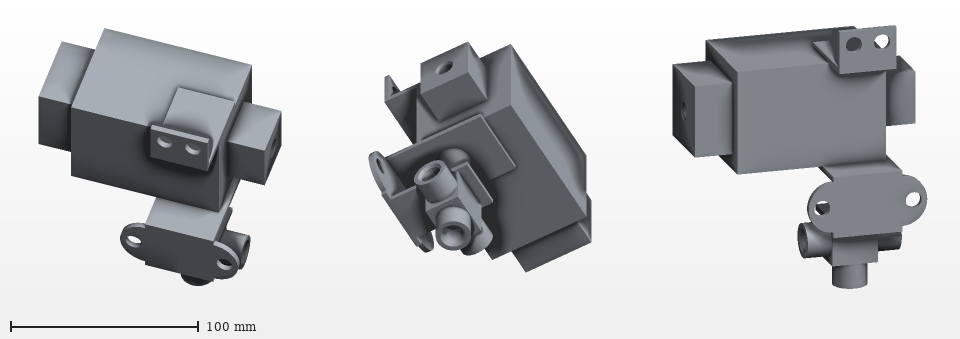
import cadquery as cq


body_length = 82.7
body_side = 57.5
end_block_length = 21.0
left_block_side = 40.0
right_block_side = 29.0
body_top = body_side / 2
body_bottom = -body_side / 2

sheet = 3.0
front_y = -body_side / 2 - 19.7
hole_diameter = 8.8

upper_width = 31.9
upper_height = 23.5
upper_depth = 47.9
upper_hole_spacing = 15.7
upper_hole_drop = 8.0
bracket_x = -upper_width / 2

lower_width = 38.3
lower_height = 34.0
lower_top_depth = 60.5
lower_bottom_width = 28.0
lower_bottom_depth = 49.5
ear_radius = 13.9
ear_hole_spacing = 51.0
lower_bottom = body_bottom - lower_height
ear_z = body_bottom - lower_height / 2

pipe_diameter = 18.9
pipe_y = front_y + 33.3
fitting_width = 25.5
fitting_depth = 19.8
fitting_height = 23.8
side_pipe_length = 13.4
bottom_pipe_length = 13.7
side_pipe_drop = 11.1
fitting_bottom = lower_bottom - fitting_height
side_pipe_z = lower_bottom - side_pipe_drop

block_bore_diameter = 8.2
block_bore_chamfer = 1.2
pipe_bore_diameter = 11.1
pipe_bore_chamfer = 1.4


def box(x_min, x_max, y_min, y_max, z_min, z_max):
    """Axis-aligned box between the given limits."""
    size = (x_max - x_min, y_max - y_min, z_max - z_min)
    return cq.Workplane("XY").box(*size, centered=False).translate((x_min, y_min, z_min))


def square_bar(x_min, x_max, side):
    """Square bar along the X axis."""
    return box(x_min, x_max, -side / 2, side / 2, -side / 2, side / 2)


def rod(start, direction, diameter, length):
    """Cylinder running from start along direction."""
    return cq.Workplane(cq.Solid.makeCylinder(diameter / 2, length, cq.Vector(*start), cq.Vector(*direction)))


def bore(mouth, direction, diameter, depth, chamfer):
    """Cutter for a blind hole with a conical mouth."""
    radius = diameter / 2
    cone = cq.Solid.makeCone(radius + chamfer, radius, chamfer, cq.Vector(*mouth), cq.Vector(*direction))
    return rod(mouth, direction, diameter, depth).union(cq.Workplane(cone))


def front_hole_pair(spacing, z):
    """Cutter for two holes through a bracket's front plate."""
    left, right = [
        rod((bracket_x + side * spacing / 2, front_y, z), (0, 1, 0), hole_diameter, sheet)
        for side in (-1, 1)
    ]
    return left.union(right)


def main_body():
    body = square_bar(-body_length, 0, body_side)
    left_end = -body_length - end_block_length
    body = body.union(square_bar(left_end, -body_length, left_block_side))
    body = body.union(square_bar(0, end_block_length, right_block_side))
    for x, inward in ((left_end, 1), (end_block_length, -1)):
        body = body.cut(
            bore((x, 0, 0), (inward, 0, 0), block_bore_diameter, end_block_length, block_bore_chamfer)
        )
    return body


def upper_bracket():
    """L-shaped bracket standing on the body."""
    top = body_top + upper_height
    foot = box(-upper_width, 0, front_y, front_y + upper_depth, body_top, body_top + sheet)
    plate = box(-upper_width, 0, front_y, front_y + sheet, body_top, top)
    return foot.union(plate).cut(front_hole_pair(upper_hole_spacing, top - upper_hole_drop))


def lower_bracket():
    """C-shaped bracket with a narrower bottom flange and a rounded ear on each side."""
    left = bracket_x - lower_width / 2
    right = bracket_x + lower_width / 2
    bracket = box(left, right, front_y, front_y + sheet, lower_bottom, body_bottom)
    flanges = (
        (lower_width, lower_top_depth, body_bottom - sheet),
        (lower_bottom_width, lower_bottom_depth, lower_bottom),
    )
    for width, depth, z_min in flanges:
        x_min = bracket_x - width / 2
        bracket = bracket.union(box(x_min, x_min + width, front_y, front_y + depth, z_min, z_min + sheet))
    for x in (left, right):
        bracket = bracket.union(rod((x, front_y, ear_z), (0, 1, 0), 2 * ear_radius, sheet))
    return bracket.cut(front_hole_pair(ear_hole_spacing, ear_z))


def pipe_fitting():
    """Tee block with bored pipes left, right and below, and a riser up to the body."""
    fitting = box(
        bracket_x - fitting_width / 2,
        bracket_x + fitting_width / 2,
        pipe_y - fitting_depth / 2,
        pipe_y + fitting_depth / 2,
        fitting_bottom,
        lower_bottom,
    )
    fitting = fitting.union(rod((bracket_x, pipe_y, lower_bottom), (0, 0, 1), pipe_diameter, lower_height))
    side_reach = fitting_width / 2 + side_pipe_length
    ports = (
        ((bracket_x - side_reach, pipe_y, side_pipe_z), (1, 0, 0), side_pipe_length),
        ((bracket_x + side_reach, pipe_y, side_pipe_z), (-1, 0, 0), side_pipe_length),
        ((bracket_x, pipe_y, fitting_bottom - bottom_pipe_length), (0, 0, 1), bottom_pipe_length),
    )
    for mouth, inward, length in ports:
        fitting = fitting.union(rod(mouth, inward, pipe_diameter, length))
        fitting = fitting.cut(bore(mouth, inward, pipe_bore_diameter, length, pipe_bore_chamfer))
    return fitting


result = main_body().union(upper_bracket()).union(lower_bracket()).union(pipe_fitting())